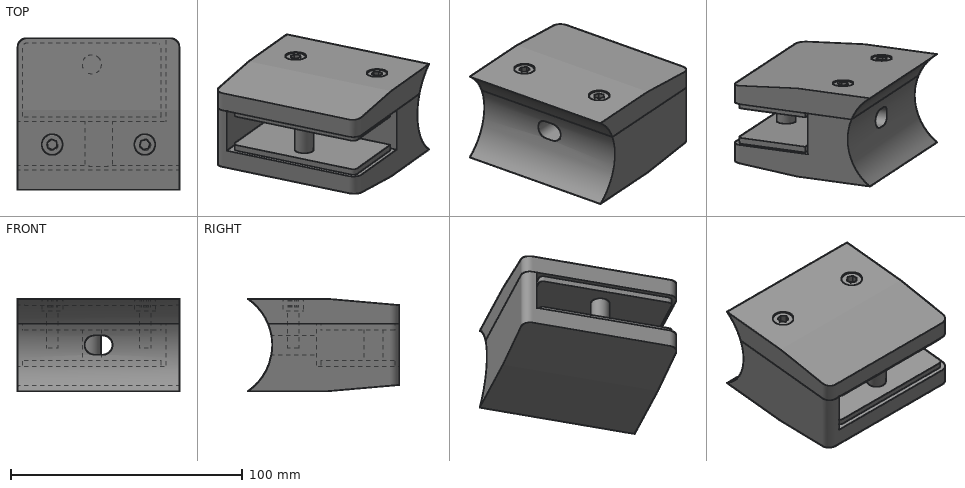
import cadquery as cq
import math


width = 70.0
height = 40.0
post_radius = 24.15
block_length = 55.0
taper_length = 31.0
taper_angle = 5.0
corner_radius = 4.0
slot_height = 18.5
slot_depth = 36.0
end_wall = 6.0

end_y = post_radius + block_length
half_height = height / 2
taper_drop = taper_length * math.tan(math.radians(taper_angle))
slot_top = slot_height / 2
slot_end_y = end_y - slot_depth
slot_width = width - end_wall
slot_center_x = -end_wall / 2

fixing_hole_height = 8.25
fixing_hole_width = 12.0

pad_inset = 2.0
pad_thickness = 2.6
pad_width = slot_width - 2 * pad_inset
pad_length = slot_depth - 2 * pad_inset
pad_corner_radius = corner_radius - pad_inset
pad_end_y = end_y - pad_inset

pin_diameter = 8.25
pin_length = 13.0
pin_x = slot_center_x
pin_y = end_y - 11.25

screw_spacing = 40.0
screw_y = post_radius + 9.0
head_diameter = 9.0
head_height = 5.0
head_rounding = 0.6
head_recess = 0.25
shank_diameter = 5.0
shank_length = 16.0
socket_across_flats = 4.0
socket_depth = 3.2
socket_turns = {-1: 38.0, 1: 12.0}

head_seat = half_height - head_recess - head_height
socket_across_corners = socket_across_flats / math.cos(math.radians(30))


def block():
    """Full outline of both clamp halves, with the post saddle and rounded far corners."""
    taper_start_y = end_y - taper_length
    end_half_height = half_height - taper_drop
    outline = (
        cq.Workplane("YZ")
        .moveTo(0, -half_height)
        .lineTo(taper_start_y, -half_height)
        .lineTo(end_y, -end_half_height)
        .lineTo(end_y, end_half_height)
        .lineTo(taper_start_y, half_height)
        .lineTo(0, half_height)
        .close()
        .extrude(width / 2, both=True)
    )
    post = cq.Workplane("YZ").circle(post_radius).extrude(width / 2, both=True)
    return outline.edges("|Z and >Y").fillet(corner_radius).cut(post)


def above_split():
    """Space above the plane that separates the two clamp halves."""
    return (
        cq.Workplane("XY", origin=(0, 0, slot_top))
        .rect(2 * width, 4 * end_y)
        .extrude(height)
    )


def glass_slot():
    """Space between the jaws, open at the far end and on the -X side."""
    return (
        cq.Workplane("XY", origin=(slot_center_x, slot_end_y + slot_depth / 2, -slot_top))
        .rect(slot_width, slot_depth)
        .extrude(slot_height)
    )


def fixing_hole():
    return (
        cq.Workplane("XZ")
        .slot2D(fixing_hole_width, fixing_hole_height)
        .extrude(-end_y)
    )


def screw_position(side):
    return (side * screw_spacing / 2, screw_y, head_seat)


def screw_space(side):
    """Space around the head and shank: a counterbore and a hole that fits the shank."""
    seat = cq.Workplane("XY", origin=screw_position(side))
    counterbore = seat.circle(head_diameter / 2).extrude(head_height + head_recess)
    shank_hole = seat.circle(shank_diameter / 2).extrude(-shank_length)
    return counterbore.union(shank_hole)


def make_base():
    """Lower jaw with the web that carries the fixing hole and the wall that closes the slot."""
    base = block().cut(above_split()).cut(glass_slot()).cut(fixing_hole())
    for side in (-1, 1):
        base = base.cut(screw_space(side))
    return base


def make_cover():
    """Upper jaw, clamped down by the two screws."""
    cover = block().intersect(above_split())
    for side in (-1, 1):
        cover = cover.cut(screw_space(side))
    return cover


def make_pad(bottom_z):
    return (
        cq.Workplane("XY", origin=(slot_center_x, pad_end_y - pad_length / 2, bottom_z))
        .rect(pad_width, pad_length)
        .extrude(pad_thickness)
        .edges("|Z and >Y")
        .fillet(pad_corner_radius)
    )


def make_pin():
    return (
        cq.Workplane("XY", origin=(pin_x, pin_y, -pin_length / 2))
        .circle(pin_diameter / 2)
        .extrude(pin_length)
    )


def make_screw(side):
    seat = cq.Workplane("XY", origin=screw_position(side))
    head = seat.circle(head_diameter / 2).extrude(head_height)
    head = head.faces(">Z").edges().fillet(head_rounding)
    shank = seat.circle(shank_diameter / 2).extrude(-shank_length)
    socket = (
        seat.workplane(offset=head_height)
        .transformed(rotate=(0, 0, socket_turns[side]))
        .polygon(6, socket_across_corners)
        .extrude(-socket_depth)
    )
    return head.union(shank).cut(socket)


base = make_base()
cover = make_cover()
pads = [make_pad(bottom_z) for bottom_z in (-slot_top, slot_top - pad_thickness)]
pin = make_pin()
screws = [make_screw(side) for side in (-1, 1)]

result = cq.Compound.makeCompound(
    [
        base.val(),
        cover.val(),
        *[pad.val() for pad in pads],
        pin.val(),
        *[screw.val() for screw in screws],
    ]
)